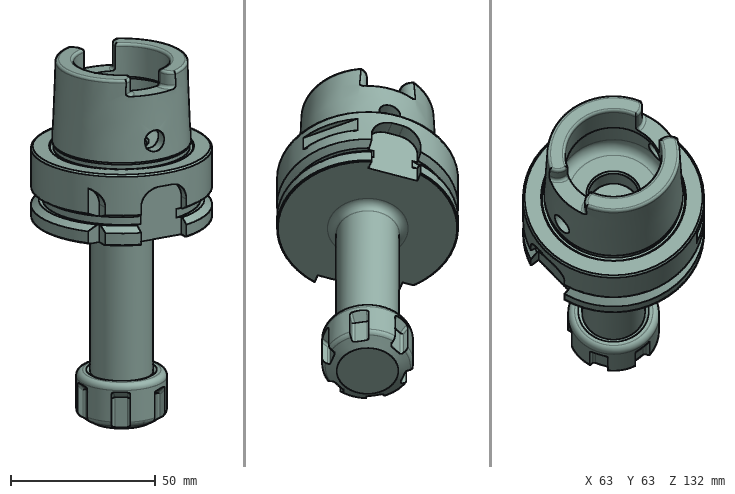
import cadquery as cq
import math

TOTAL_LENGTH = 132.0
SHANK_HEIGHT = 32.0
BOTTOM_Z = SHANK_HEIGHT - TOTAL_LENGTH

SHANK_TOP_RADIUS = 23.0
SHANK_BASE_RADIUS = 24.2
RIM_ROUND = 1.0
BORE_RADIUS = 16.8
BORE_LIP_Z = 19.8
CAVITY_RADIUS = 19.8
CAVITY_SHOULDER_ANGLE = 60.0
CAVITY_FLOOR_Z = 1.7
CAVITY_FLOOR_FILLET = 4.0
CENTRE_HOLE_RADIUS = 8.8
CENTRE_HOLE_CHAMFER = 0.7
CENTRE_HOLE_DEPTH = 7.9
CROSS_HOLE_RADIUS = 3.8
CROSS_HOLE_Z = 9.0

UNDERCUT_NECK_RADIUS = 23.8
UNDERCUT_OUTER_RADIUS = 25.2
UNDERCUT_TOP_Z = 2.0
UNDERCUT_STEP_Z = 1.2
UNDERCUT_DEPTH = 0.4

RIM_SLOT_WIDTH = 12.4
RIM_SLOT_LEFT_DEPTH = 10.0
RIM_SLOT_RIGHT_DEPTH = 6.1
RIM_SLOT_CORNER = 4.6
RIM_SLOT_FACE = 21.0
RIM_SLOT_FLOOR_FILLET = 1.2

FLANGE_DIAMETER = 63.0
FLANGE_RADIUS = FLANGE_DIAMETER / 2
FLANGE_CHAMFER = 0.7
FLANGE_BOTTOM_CHAMFER = 0.4
FLANGE_BOTTOM_Z = -26.0
GROOVE_RADIUS = 27.5
GROOVE_SHOULDER_RADIUS = 28.8
GROOVE_UPPER_EDGE_Z = -14.8
GROOVE_TOP_Z = -16.4
GROOVE_BOTTOM_Z = -19.5
GROOVE_LOWER_EDGE_Z = -21.4

KEY_SLOT_WIDTH = 18.0
KEY_SLOT_FLOOR = 26.5
KEY_SLOT_TOP_Z = -5.1
KEY_SLOT_CORNER = 6.9
NOTCH_FLOOR_X = 19.9
NOTCH_WALL_Y = -19.9
CHIP_FLAT_DISTANCE = 29.7
CHIP_FLAT_TOP_Z = -4.0
CHIP_FLAT_HEIGHT = 6.0
CHIP_FLAT_ANGLE = 135.0

STEM_RADIUS = 11.0
STEM_FILLET = 3.0
NUT_RADIUS = 15.8
NUT_HEIGHT = 18.1
NUT_TOP_FILLET = 2.2
NUT_BOTTOM_FILLET = 2.1
NUT_BOTTOM_RADIUS = 10.7
NUT_CONE_ANGLE = 30.0
NUT_SINK_RADIUS = 12.3
NUT_SINK_DEPTH = 0.8
NUT_TOP_Z = BOTTOM_Z + NUT_HEIGHT

SPANNER_SLOT_COUNT = 6
SPANNER_SLOT_WIDTH = 6.9
SPANNER_FLOOR_WIDTH = 5.8
SPANNER_FLOOR_DISTANCE = 13.0
SPANNER_LONG_TOP = 2.9
SPANNER_SHORT_TOP = 4.1
SPANNER_CORNER = 0.9

CLEARANCE = 6.6
PICK_MARGIN = 0.1


def revolve(points):
    return cq.Workplane("XZ").polyline(points).close().revolve(360, (0, 0, 0), (0, 1, 0))


def shank():
    body = revolve([
        (0, -UNDERCUT_DEPTH),
        (UNDERCUT_NECK_RADIUS, -UNDERCUT_DEPTH),
        (UNDERCUT_NECK_RADIUS, UNDERCUT_STEP_Z),
        (SHANK_BASE_RADIUS, UNDERCUT_TOP_Z),
        (SHANK_TOP_RADIUS, SHANK_HEIGHT),
        (0, SHANK_HEIGHT),
    ])
    body = body.cut(cavity())
    body = body.cut(rim_slot(RIM_SLOT_RIGHT_DEPTH))
    body = body.cut(rim_slot(RIM_SLOT_LEFT_DEPTH).rotate((0, 0, 0), (0, 0, 1), 180))
    body = body.faces(">Z").edges().fillet(RIM_ROUND)
    cross_hole = cq.Workplane("YZ").center(0, CROSS_HOLE_Z).circle(CROSS_HOLE_RADIUS)
    return body.cut(cross_hole.extrude(SHANK_BASE_RADIUS + CLEARANCE, both=True))


def cavity():
    """Straight bore that widens below its lip along a conical clamping shoulder."""
    shoulder_height = (CAVITY_RADIUS - BORE_RADIUS) / math.tan(math.radians(CAVITY_SHOULDER_ANGLE))
    space = revolve([
        (0, SHANK_HEIGHT),
        (BORE_RADIUS, SHANK_HEIGHT),
        (BORE_RADIUS, BORE_LIP_Z),
        (CAVITY_RADIUS, BORE_LIP_Z - shoulder_height),
        (CAVITY_RADIUS, CAVITY_FLOOR_Z),
        (0, CAVITY_FLOOR_Z),
    ])
    return space.faces("<Z").edges().fillet(CAVITY_FLOOR_FILLET)


def rim_slot(depth):
    """Cutter on the +X side: a straight slot whose mouth turns outward along a flat face."""
    half = RIM_SLOT_WIDTH / 2
    corner = RIM_SLOT_CORNER
    bend = corner * (1 - math.sqrt(0.5))
    outer_x = SHANK_BASE_RADIUS + CLEARANCE
    outer_y = half + corner + CLEARANCE
    cutter = (
        cq.Workplane("XY", origin=(0, 0, SHANK_HEIGHT - depth))
        .moveTo(0, -half)
        .lineTo(RIM_SLOT_FACE - corner, -half)
        .threePointArc((RIM_SLOT_FACE - bend, -half - bend), (RIM_SLOT_FACE, -half - corner))
        .lineTo(RIM_SLOT_FACE, -outer_y)
        .lineTo(outer_x, -outer_y)
        .lineTo(outer_x, outer_y)
        .lineTo(RIM_SLOT_FACE, outer_y)
        .lineTo(RIM_SLOT_FACE, half + corner)
        .threePointArc((RIM_SLOT_FACE - bend, half + bend), (RIM_SLOT_FACE - corner, half))
        .lineTo(0, half)
        .close()
        .extrude(depth + CLEARANCE)
    )
    return cutter.faces("<Z").edges("not(<X or >X)").fillet(RIM_SLOT_FLOOR_FILLET)


def centre_hole():
    mouth_radius = CENTRE_HOLE_RADIUS + CENTRE_HOLE_CHAMFER
    bottom_z = CAVITY_FLOOR_Z - CENTRE_HOLE_DEPTH
    return revolve([
        (0, CAVITY_FLOOR_Z),
        (mouth_radius, CAVITY_FLOOR_Z),
        (CENTRE_HOLE_RADIUS, CAVITY_FLOOR_Z - CENTRE_HOLE_CHAMFER),
        (CENTRE_HOLE_RADIUS, bottom_z),
        (0, bottom_z),
    ])


def flange():
    body = revolve([
        (0, -UNDERCUT_DEPTH),
        (UNDERCUT_OUTER_RADIUS - UNDERCUT_DEPTH, -UNDERCUT_DEPTH),
        (UNDERCUT_OUTER_RADIUS, 0),
        (FLANGE_RADIUS - FLANGE_CHAMFER, 0),
        (FLANGE_RADIUS, -FLANGE_CHAMFER),
        (FLANGE_RADIUS, GROOVE_UPPER_EDGE_Z),
        (GROOVE_SHOULDER_RADIUS, GROOVE_TOP_Z),
        (GROOVE_RADIUS, GROOVE_TOP_Z),
        (GROOVE_RADIUS, GROOVE_BOTTOM_Z),
        (GROOVE_SHOULDER_RADIUS, GROOVE_BOTTOM_Z),
        (FLANGE_RADIUS, GROOVE_LOWER_EDGE_Z),
        (FLANGE_RADIUS, FLANGE_BOTTOM_Z + FLANGE_BOTTOM_CHAMFER),
        (FLANGE_RADIUS - FLANGE_BOTTOM_CHAMFER, FLANGE_BOTTOM_Z),
        (0, FLANGE_BOTTOM_Z),
    ])
    key_slot = arched_cutter(KEY_SLOT_FLOOR, -KEY_SLOT_WIDTH / 2, KEY_SLOT_WIDTH / 2)
    body = body.cut(key_slot).cut(key_slot.mirror("YZ"))
    notch = arched_cutter(NOTCH_FLOOR_X, NOTCH_WALL_Y - KEY_SLOT_WIDTH, NOTCH_WALL_Y)
    return body.cut(notch).cut(chip_flat())


def arched_cutter(floor_x, y_min, y_max):
    """Slot cutter along +X, open downward, with two rounded upper corners."""
    bottom_z = FLANGE_BOTTOM_Z - CLEARANCE
    block = cq.Workplane("XY").box(
        FLANGE_RADIUS, y_max - y_min, KEY_SLOT_TOP_Z - bottom_z, centered=False
    )
    return block.translate((floor_x, y_min, bottom_z)).edges(">Z and |X").fillet(KEY_SLOT_CORNER)


def chip_flat():
    block = cq.Workplane("XY").box(
        CLEARANCE, 2 * FLANGE_RADIUS, CHIP_FLAT_HEIGHT, centered=(False, True, False)
    )
    block = block.translate((CHIP_FLAT_DISTANCE, 0, CHIP_FLAT_TOP_Z - CHIP_FLAT_HEIGHT))
    return block.rotate((0, 0, 0), (0, 0, 1), CHIP_FLAT_ANGLE)


def stem():
    bend = STEM_FILLET * (1 - math.sqrt(0.5))
    return (
        cq.Workplane("XZ")
        .moveTo(0, FLANGE_BOTTOM_Z)
        .lineTo(STEM_RADIUS + STEM_FILLET, FLANGE_BOTTOM_Z)
        .threePointArc(
            (STEM_RADIUS + bend, FLANGE_BOTTOM_Z - bend),
            (STEM_RADIUS, FLANGE_BOTTOM_Z - STEM_FILLET),
        )
        .lineTo(STEM_RADIUS, NUT_TOP_Z - NUT_SINK_DEPTH)
        .lineTo(0, NUT_TOP_Z - NUT_SINK_DEPTH)
        .close()
        .revolve(360, (0, 0, 0), (0, 1, 0))
    )


def nut():
    cone_height = (NUT_RADIUS - NUT_BOTTOM_RADIUS) * math.tan(math.radians(NUT_CONE_ANGLE))
    cone_top_z = BOTTOM_Z + cone_height
    body = revolve([
        (0, BOTTOM_Z),
        (NUT_BOTTOM_RADIUS, BOTTOM_Z),
        (NUT_RADIUS, cone_top_z),
        (NUT_RADIUS, NUT_TOP_Z),
        (0, NUT_TOP_Z),
    ])
    body = body.faces(">Z").edges().fillet(NUT_TOP_FILLET)
    sink_z = NUT_TOP_Z - NUT_SINK_DEPTH
    body = body.cut(revolve([
        (0, sink_z),
        (STEM_RADIUS, sink_z),
        (NUT_SINK_RADIUS, NUT_TOP_Z),
        (0, NUT_TOP_Z),
    ]))
    widest_edge = cq.selectors.BoxSelector(
        (-CLEARANCE, -CLEARANCE, cone_top_z - PICK_MARGIN),
        (CLEARANCE, CLEARANCE, cone_top_z + PICK_MARGIN),
    )
    body = body.edges(widest_edge).fillet(NUT_BOTTOM_FILLET)
    pitch = 360 / SPANNER_SLOT_COUNT
    slots = cq.Workplane("XY")
    for i in range(SPANNER_SLOT_COUNT):
        angle = pitch * (i + 0.5)
        top_offset = SPANNER_SHORT_TOP if angle < 180 else SPANNER_LONG_TOP
        slots = slots.add(spanner_slot(top_offset).rotate((0, 0, 0), (0, 0, 1), angle))
    return body.cut(slots.combine())


def spanner_slot(top_offset):
    """Cutter on the +X side with flared walls and a roof rising outward at 45 degrees."""
    depth = NUT_RADIUS - SPANNER_FLOOR_DISTANCE
    flare = (SPANNER_SLOT_WIDTH - SPANNER_FLOOR_WIDTH) / 2 / depth
    outer_x = NUT_RADIUS + depth
    outer_half = SPANNER_SLOT_WIDTH / 2 + flare * depth
    floor_half = SPANNER_FLOOR_WIDTH / 2
    top_z = NUT_TOP_Z - top_offset
    bottom_z = BOTTOM_Z - CLEARANCE
    plan = (
        cq.Workplane("XY", origin=(0, 0, bottom_z))
        .polyline([
            (SPANNER_FLOOR_DISTANCE, -floor_half),
            (outer_x, -outer_half),
            (outer_x, outer_half),
            (SPANNER_FLOOR_DISTANCE, floor_half),
        ])
        .close()
        .extrude(TOTAL_LENGTH)
    )
    side = (
        cq.Workplane("XZ")
        .polyline([
            (SPANNER_FLOOR_DISTANCE, bottom_z),
            (SPANNER_FLOOR_DISTANCE, top_z - depth),
            (outer_x, top_z + depth),
            (outer_x, bottom_z),
        ])
        .close()
        .extrude(outer_half, both=True)
    )
    inner_corners = cq.selectors.BoxSelector(
        (SPANNER_FLOOR_DISTANCE - PICK_MARGIN, -outer_half, bottom_z + PICK_MARGIN),
        (outer_x - PICK_MARGIN, outer_half, top_z + depth),
    )
    return plan.intersect(side).edges(inner_corners).edges("not |Y").fillet(SPANNER_CORNER)


result = flange().union(shank()).union(stem()).union(nut()).cut(centre_hole())